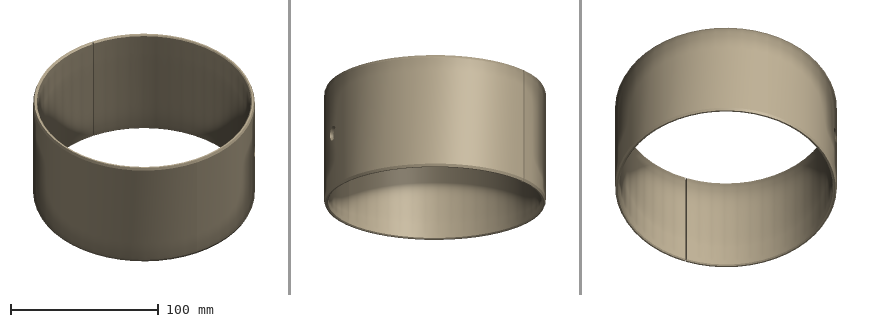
import cadquery as cq

outer_diameter = 150.0
wall = 2.5
length = 80.0
split_width = 0.9

outer_chamfer_length = 1.8
outer_chamfer_depth = 0.8
inner_chamfer = 0.8

hole_diameter = 10.0
hole_angle = 59.0
hole_height = length / 2

outer_radius = outer_diameter / 2
inner_radius = outer_radius - wall


def bushing_body():
    """Revolve the wall section, chamfered at both ends."""
    chamfered_outer = outer_radius - outer_chamfer_depth
    chamfered_inner = inner_radius + inner_chamfer
    section = [
        (inner_radius, inner_chamfer),
        (chamfered_inner, 0),
        (chamfered_outer, 0),
        (outer_radius, outer_chamfer_length),
        (outer_radius, length - outer_chamfer_length),
        (chamfered_outer, length),
        (chamfered_inner, length),
        (inner_radius, length - inner_chamfer),
    ]
    return cq.Workplane("XZ").polyline(section).close().revolve(360, (0, 0), (0, 1))


def split_cutter():
    """Straight axial split on the -X side, with one face on the XZ plane."""
    return cq.Workplane("XY").box(
        outer_radius, split_width, length, centered=False
    ).translate((-outer_radius, 0, 0))


def hole_cutter():
    """Radial cylinder crossing one side of the wall."""
    return (
        cq.Workplane("YZ")
        .center(0, hole_height)
        .circle(hole_diameter / 2)
        .extrude(outer_diameter)
        .rotate((0, 0, 0), (0, 0, 1), hole_angle)
    )


result = bushing_body().cut(split_cutter()).cut(hole_cutter())